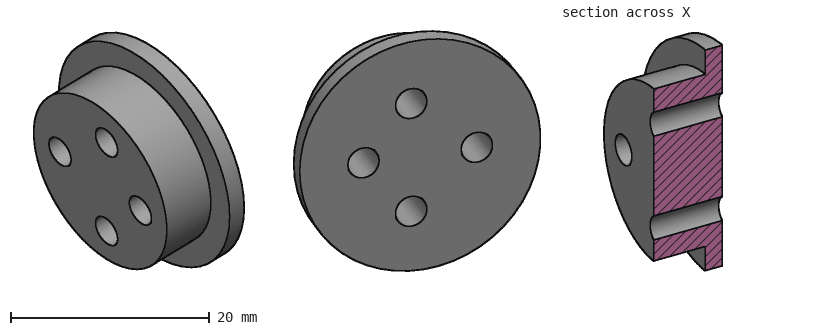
import cadquery as cq

flange_diameter = 25.5
flange_thickness = 2.0
plug_diameter = 19.9
plug_length = 6.0
hole_diameter = 3.3

side_hole_x = 6.0
offset_hole_x = 0.95
upper_hole_z = 5.85
lower_hole_z = -6.1
hole_centres = [
    (-side_hole_x, 0),
    (side_hole_x, 0),
    (offset_hole_x, upper_hole_z),
    (offset_hole_x, lower_hole_z),
]


def cylinder_along_y(diameter, length):
    """Cylinder on the Y axis, running from Y = 0 towards -Y."""
    return cq.Workplane("XZ").circle(diameter / 2).extrude(length)


def through_holes():
    """Cutters that pass through the flange and the plug."""
    total_length = flange_thickness + plug_length
    return cq.Workplane("XZ").pushPoints(hole_centres).circle(hole_diameter / 2).extrude(total_length)


flange = cylinder_along_y(flange_diameter, flange_thickness)
plug = cylinder_along_y(plug_diameter, flange_thickness + plug_length)

result = flange.union(plug).cut(through_holes())